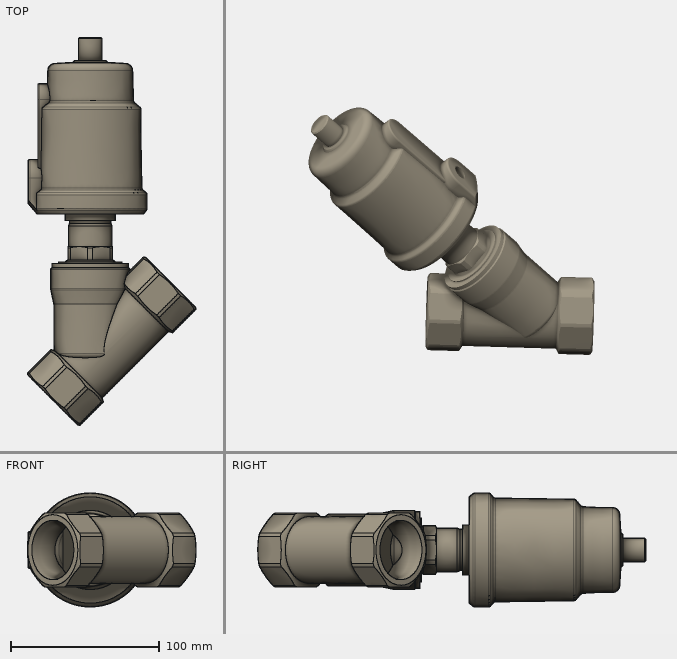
import cadquery as cq
import math


PIPE_ANGLE = 45
PIPE_DIAMETER = 45.0
PIPE_START = -35.5
PIPE_END = 76.7
NUT_LENGTH = 24.5
NUT_ACROSS_FLATS = 50.0
NUT_CORNER_DIAMETER = 53.0
NUT_FACE_DIAMETER = 47.5
NUT_SIDES = 8
NUT_CHAMFER_ANGLE = 30
PORT_DIAMETER = 40.0
PORT_DEPTH = 24.9

BONNET_BOTTOM = 3.1
BONNET_BOTTOM_RADIUS = 24.3
BONNET_BOTTOM_ROUND = 3.1
BONNET_RADIUS = 24.5
BONNET_SHOULDER_START = 39.5
BONNET_COLLAR_START = 49.5
BONNET_COLLAR_RADIUS = 26.7
BONNET_SHOULDER_ROUND = 4.0
BONNET_COLLAR_END = 63.3
BONNET_STEP_RADIUS = 26.0
BONNET_STEP_START = 64.0
BONNET_STEP_END = 67.0
BONNET_TOP_RADIUS = 21.5
BONNET_TOP = 68.0
HEX_SEAT_RADIUS = 17.0
HEX_CHAMFER_HEIGHT = 0.8
HEX_BOTTOM = 69.3
HEX_TOP = 78.2
HEX_ACROSS_FLATS = 30.0
HEX_CORNER_DIAMETER = 33.0
HEX_SIDES = 6
NECK_DIAMETER = 29.5
NECK_TOP = 92.0
GROOVE_DIAMETER = 28.0
GROOVE_BOTTOM = 94.0

ACTUATOR_COLLAR_RADIUS = 17.0
ACTUATOR_COLLAR_BOTTOM = 95.7
FLANGE_BOTTOM = 100.2
FLANGE_FACE_RADIUS = 35.8
FLANGE_RADIUS = 38.5
FLANGE_CHAMFER_SLOPE = 1.2
FLANGE_TOP = 114.0
BARREL_BOTTOM_RADIUS = 35.0
BARREL_BOTTOM = 117.0
BARREL_TOP_RADIUS = 34.3
BARREL_TOP = 171.5
CAP_BOTTOM_RADIUS = 29.3
CAP_BOTTOM = 175.8
CAP_TOP_RADIUS = 28.5
CAP_TOP = 201.5
CAP_ROUND = 5.0
STEP_ROUND = 2.0
RING_BASE_RADIUS = 11.8
RING_BASE = 202.5
RING_TOP_RADIUS = 10.5
RING_TOP = 203.8

RIB_WIDTH = 21.5
RIB_FACE = 35.3
RIB_END = 188.0
RIB_EDGE_ROUND = 1.0
LUG_WIDTH = 25.0
LUG_FACE = 41.9
LUG_END = 137.0
LUG_EDGE_ROUND = 1.3
LUG_HOLE_DIAMETER = 9.7
LUG_HOLE_DEPTH = 10.5

INDICATOR_DIAMETER = 16.0
INDICATOR_TOP = 219.2
INDICATOR_CHAMFER = 0.8


def revolve_profile(corners):
    """Turn corners (radius, height, rounding) about the Y axis, closing the outline along the axis."""
    if corners[0][1] > corners[-1][1]:
        corners = corners[::-1]
    axis_start = (0, corners[0][1], 0)
    axis_end = (0, corners[-1][1], 0)
    path = [axis_start, *corners, axis_end]
    outline = cq.Workplane("XY").moveTo(axis_start[0], axis_start[1])
    for before, (radius, height, rounding), after in zip(path, path[1:], path[2:]):
        if rounding == 0:
            outline = outline.lineTo(radius, height)
            continue
        corner = cq.Vector(radius, height)
        back = (cq.Vector(before[0], before[1]) - corner).normalized()
        ahead = (cq.Vector(after[0], after[1]) - corner).normalized()
        half_angle = back.getAngle(ahead) / 2
        bisector = (back + ahead).normalized()
        tangent_length = rounding / math.tan(half_angle)
        middle_distance = rounding / math.sin(half_angle) - rounding
        start = corner + back * tangent_length
        middle = corner + bisector * middle_distance
        end = corner + ahead * tangent_length
        outline = outline.lineTo(start.x, start.y)
        outline = outline.threePointArc((middle.x, middle.y), (end.x, end.y))
    outline = outline.lineTo(axis_end[0], axis_end[1]).close()
    return outline.revolve(360, (0, 0, 0), (0, 1, 0))


def cylinder_along_y(radius, start, end):
    return revolve_profile([(radius, start, 0), (radius, end, 0)])


def prism_along_y(sides, across_flats, start, end):
    """Regular prism about the Y axis, with flats facing +X and -X."""
    across_corners = across_flats / math.cos(math.pi / sides)
    prism = cq.Workplane("XY").polygon(sides, across_corners).extrude(end - start)
    prism = prism.rotate((0, 0, 0), (0, 0, 1), 180 / sides)
    return prism.rotate((0, 0, 0), (1, 0, 0), -90).translate((0, start, 0))


def make_nut(face, inner):
    """Octagon from the open face to the inner end, trimmed by a cylinder and by a cone at each end."""
    slope = math.tan(math.radians(NUT_CHAMFER_ANGLE))
    corner_radius = NUT_CORNER_DIAMETER / 2
    face_radius = NUT_FACE_DIAMETER / 2
    pipe_radius = PIPE_DIAMETER / 2
    inward = math.copysign(1, inner - face)
    face_drop = inward * slope * (corner_radius - face_radius)
    inner_drop = inward * slope * (corner_radius - pipe_radius)
    trim = revolve_profile([
        (face_radius, face, 0),
        (corner_radius, face + face_drop, 0),
        (corner_radius, inner - inner_drop, 0),
        (pipe_radius, inner, 0),
    ])
    octagon = prism_along_y(NUT_SIDES, NUT_ACROSS_FLATS, min(face, inner), max(face, inner))
    return octagon.intersect(trim)


def make_pipe():
    """Pipe along its slanted axis, with a blind port bored into each end."""
    pipe = cylinder_along_y(PIPE_DIAMETER / 2, PIPE_START, PIPE_END)
    for face, inward in ((PIPE_START, 1), (PIPE_END, -1)):
        pipe = pipe.union(make_nut(face, face + inward * NUT_LENGTH))
        port = cylinder_along_y(PORT_DIAMETER / 2, face, face + inward * PORT_DEPTH)
        pipe = pipe.cut(port)
    return pipe.rotate((0, 0, 0), (0, 0, 1), -PIPE_ANGLE)


def make_bonnet():
    """Bonnet below the hexagon, ending in a rounded bottom that dips into the lower port."""
    return revolve_profile([
        (BONNET_BOTTOM_RADIUS, BONNET_BOTTOM, BONNET_BOTTOM_ROUND),
        (BONNET_RADIUS, BONNET_SHOULDER_START, BONNET_SHOULDER_ROUND),
        (BONNET_COLLAR_RADIUS, BONNET_COLLAR_START, BONNET_SHOULDER_ROUND),
        (BONNET_COLLAR_RADIUS, BONNET_COLLAR_END, 0),
        (BONNET_STEP_RADIUS, BONNET_STEP_START, 0),
        (BONNET_STEP_RADIUS, BONNET_STEP_END, 0),
        (BONNET_TOP_RADIUS, BONNET_STEP_END, 0),
        (BONNET_TOP_RADIUS, BONNET_TOP, 0),
    ])


def make_neck():
    """Hexagon with trimmed corners on a conical seat, and the neck with its groove up to the actuator."""
    flat_radius = HEX_ACROSS_FLATS / 2
    corner_radius = HEX_CORNER_DIAMETER / 2
    seat = revolve_profile([
        (HEX_SEAT_RADIUS, BONNET_TOP, 0),
        (flat_radius, HEX_BOTTOM, 0),
    ])
    hexagon = prism_along_y(HEX_SIDES, HEX_ACROSS_FLATS, HEX_BOTTOM, HEX_TOP)
    trim = revolve_profile([
        (corner_radius, HEX_BOTTOM, 0),
        (corner_radius, HEX_TOP - HEX_CHAMFER_HEIGHT, 0),
        (flat_radius, HEX_TOP, 0),
    ])
    hexagon = hexagon.intersect(trim)
    tube = revolve_profile([
        (NECK_DIAMETER / 2, HEX_TOP, 0),
        (NECK_DIAMETER / 2, NECK_TOP, 0),
        (GROOVE_DIAMETER / 2, GROOVE_BOTTOM, 0),
        (GROOVE_DIAMETER / 2, ACTUATOR_COLLAR_BOTTOM, 0),
    ])
    return seat.union(hexagon).union(tube)


def make_valve_body():
    """One casting: slanted pipe, bonnet and neck."""
    return make_pipe().union(make_bonnet()).union(make_neck())


def make_pad(width, end, face, edge_round):
    """Pad from the Y axis plane out to -X, with a round upper end and a softened outer rim."""
    half_width = width / 2
    centre = end - half_width
    pad = (
        cq.Workplane("YZ")
        .moveTo(FLANGE_BOTTOM, -half_width)
        .lineTo(centre, -half_width)
        .threePointArc((end, 0), (centre, half_width))
        .lineTo(FLANGE_BOTTOM, half_width)
        .close()
        .extrude(-face)
    )
    rim = pad.faces("<X").edges("not <Y")
    return rim.fillet(edge_round)


def make_rib_and_lug():
    """Rib running down into the lug; the lower end continues the flange's conical chamfer."""
    rib = make_pad(RIB_WIDTH, RIB_END, RIB_FACE, RIB_EDGE_ROUND)
    lug = make_pad(LUG_WIDTH, LUG_END, LUG_FACE, LUG_EDGE_ROUND)
    reach = math.hypot(LUG_FACE, LUG_WIDTH / 2)
    chamfer_rise = FLANGE_CHAMFER_SLOPE * (reach - FLANGE_FACE_RADIUS)
    envelope = revolve_profile([
        (FLANGE_FACE_RADIUS, FLANGE_BOTTOM, 0),
        (reach, FLANGE_BOTTOM + chamfer_rise, 0),
        (reach, RIB_END, 0),
    ])
    return rib.union(lug).intersect(envelope)


def make_lug_hole():
    """Blind hole in the lug, concentric with its round end."""
    centre = LUG_END - LUG_WIDTH / 2
    hole = cq.Workplane("YZ").center(centre, 0).circle(LUG_HOLE_DIAMETER / 2).extrude(LUG_HOLE_DEPTH)
    return hole.translate((-LUG_FACE, 0, 0))


def make_actuator():
    """Stepped housing with its collar below, ring on top, and the rib and lug at its side."""
    flange_chamfer_top = FLANGE_BOTTOM + FLANGE_CHAMFER_SLOPE * (FLANGE_RADIUS - FLANGE_FACE_RADIUS)
    housing = revolve_profile([
        (ACTUATOR_COLLAR_RADIUS, ACTUATOR_COLLAR_BOTTOM, 0),
        (ACTUATOR_COLLAR_RADIUS, FLANGE_BOTTOM, 0),
        (FLANGE_FACE_RADIUS, FLANGE_BOTTOM, 0),
        (FLANGE_RADIUS, flange_chamfer_top, STEP_ROUND),
        (FLANGE_RADIUS, FLANGE_TOP, STEP_ROUND),
        (BARREL_BOTTOM_RADIUS, BARREL_BOTTOM, STEP_ROUND),
        (BARREL_TOP_RADIUS, BARREL_TOP, STEP_ROUND),
        (CAP_BOTTOM_RADIUS, CAP_BOTTOM, STEP_ROUND),
        (CAP_TOP_RADIUS, CAP_TOP, CAP_ROUND),
        (RING_BASE_RADIUS, RING_BASE, 0),
        (RING_TOP_RADIUS, RING_TOP, 0),
    ])
    return housing.union(make_rib_and_lug()).cut(make_lug_hole())


def make_indicator():
    """Round pin standing on the ring at the top of the housing."""
    indicator = cylinder_along_y(INDICATOR_DIAMETER / 2, RING_TOP, INDICATOR_TOP)
    return indicator.faces(">Y").chamfer(INDICATOR_CHAMFER)


valve_body = make_valve_body()
actuator = make_actuator()
indicator = make_indicator()

result = cq.Compound.makeCompound([valve_body.val(), actuator.val(), indicator.val()])